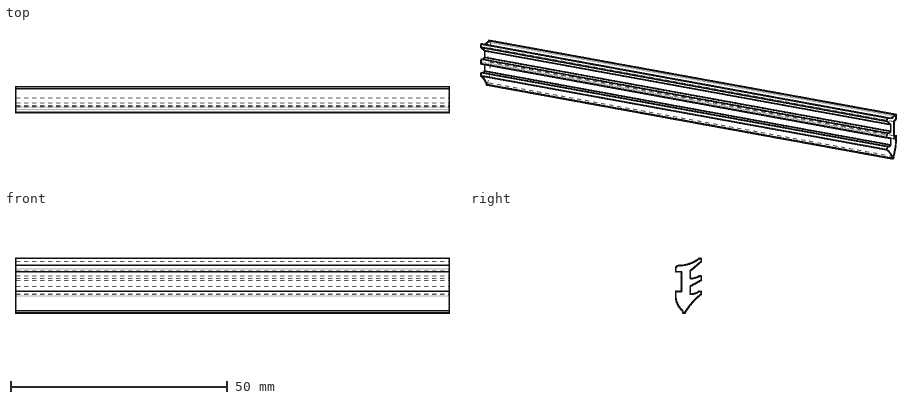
import cadquery as cq
import math

length = 100.0
depth = 5.99
height = 12.67


web_front = 1.35
web_back = 3.45
channel_top = 9.5
channel_bottom = 5.0

lip_top = 11.0
lip_radius = 0.8
lip_hollow = 0.33

fin_crest_radius = 0.42
top_fin_under = 11.95
top_fin_root_under = 9.75
middle_fin_top = 8.62
middle_fin_root_top = 8.0
middle_fin_under = 7.6
middle_fin_root_under = 6.2
bottom_fin_top = 5.1
bottom_fin_root_top = 4.4
bottom_fin_under = 4.45

wedge_back_hollow = 0.26
wedge_front_start = 4.07
tip_front_back = 1.69
tip_front_up = 0.5
tip_bottom_back = 1.9
tip_rear_back = 2.25
tip_rear_up = 0.25

fin_crest = depth - fin_crest_radius


def point(back, up):
    """Sketch point, with the section centred on the origin."""
    return (back - depth / 2, up - height / 2)


def bowed_middle(start, end, sagitta):
    """Middle point of an arc that bows to the left of the run from start to end."""
    run = end[0] - start[0]
    rise = end[1] - start[1]
    chord = math.hypot(run, rise)
    middle_x = (start[0] + end[0]) / 2 - sagitta * rise / chord
    middle_y = (start[1] + end[1]) / 2 + sagitta * run / chord
    return (middle_x, middle_y)


def smooth_arc_radius(along, aside):
    """Radius of an arc that leaves a straight line smoothly and ends this far along and aside of it."""
    return (along**2 + aside**2) / (2 * aside)


def fin_end(sketch, top, under):
    """Quarter-round the crest of a fin, then drop down its short back face."""
    diagonal = fin_crest_radius * math.sqrt(0.5)
    crest_middle = point(fin_crest + diagonal, top - fin_crest_radius + diagonal)
    sketch = sketch.threePointArc(crest_middle, point(depth, top - fin_crest_radius))
    return sketch.lineTo(*point(depth, under))


def fin_upper_edge(sketch, root_top, top):
    """Curve up from level at the web to the crest of a fin."""
    radius = smooth_arc_radius(fin_crest - web_back, top - root_top)
    sketch = sketch.lineTo(*point(web_back, root_top))
    return sketch.radiusArc(point(fin_crest, top), -radius)


def channel_and_lip(sketch):
    """Front channel, rounded lip and the hollow top up to the top fin."""
    hollow_start = point(web_front, lip_top)
    hollow_end = point(fin_crest, height)
    sketch = sketch.lineTo(*point(web_front, channel_bottom))
    sketch = sketch.lineTo(*point(web_front, channel_top))
    sketch = sketch.lineTo(*point(0, channel_top))
    sketch = sketch.lineTo(*point(0, lip_top - lip_radius))
    sketch = sketch.tangentArcPoint(point(lip_radius, lip_top), relative=False)
    sketch = sketch.lineTo(*hollow_start)
    return sketch.threePointArc(bowed_middle(hollow_end, hollow_start, lip_hollow), hollow_end)


def fins(sketch):
    """The three fins at the back, from the top down."""
    sketch = fin_end(sketch, height, top_fin_under)
    sketch = sketch.lineTo(*point(web_back, top_fin_root_under))
    sketch = fin_upper_edge(sketch, middle_fin_root_top, middle_fin_top)
    sketch = fin_end(sketch, middle_fin_top, middle_fin_under)
    sketch = sketch.lineTo(*point(web_back, middle_fin_root_under))
    sketch = fin_upper_edge(sketch, bottom_fin_root_top, bottom_fin_top)
    return fin_end(sketch, bottom_fin_top, bottom_fin_under)


def wedge(sketch):
    """Hollow back, rounded tip and convex front, which meets the front face smoothly."""
    back_start = point(depth, bottom_fin_under)
    tip_rear = point(tip_rear_back, tip_rear_up)
    tip_front = point(tip_front_back, tip_front_up)
    front_radius = smooth_arc_radius(wedge_front_start - tip_front_up, tip_front_back)
    sketch = sketch.threePointArc(bowed_middle(tip_rear, back_start, wedge_back_hollow), tip_rear)
    sketch = sketch.threePointArc(point(tip_bottom_back, 0), tip_front)
    return sketch.radiusArc(point(0, wedge_front_start), front_radius)


section = cq.Workplane("YZ", origin=(-length / 2, 0, 0)).moveTo(*point(0, channel_bottom))
section = wedge(fins(channel_and_lip(section))).close()
result = section.extrude(length)